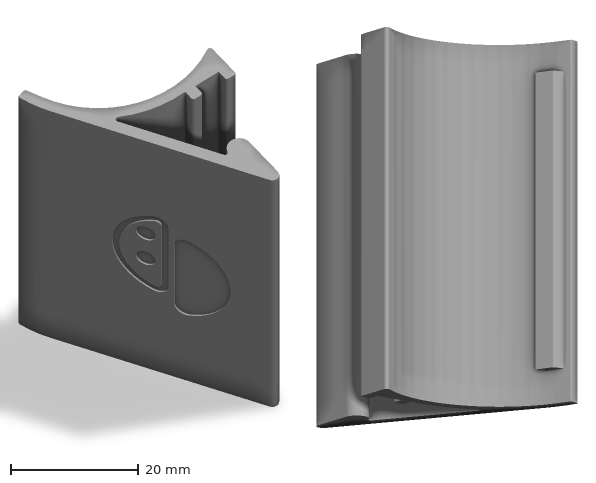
import cadquery as cq
import math

LENGTH = 58.5
WALL = 2.0
SADDLE_INNER_R = 18.5
SADDLE_OUTER_R = SADDLE_INNER_R + WALL

BLADE_ANGLE = 46.0
HOOK_ANGLE = 15.0
FOOT_END_ANGLE = -60.2
FOOT_FLAT_ANGLE = -51.0

CATCH_REACH = 2.0
HOOK_TOP = 10.2
HOOK_BOTTOM = HOOK_TOP - WALL
NUB_TOP = 3.6
NUB_BOTTOM = NUB_TOP - WALL

HEAD_R = 2.0
HEAD_CENTRE_OUT = 34.5
HEAD_TOP = NUB_TOP
NOTCH_R = 0.45

HEAD_TIP_R = 1.1
FOOT_TIP_R = 0.3
SADDLE_TIP_R = 0.5
HOOK_CORNER_R = 0.4
NUB_CORNER_R = 0.5

PAD_X_MIN = 10.36
PAD_X_MAX = 12.8
PAD_RISE = 1.85
PAD_Z = 5.5
PAD_HEIGHT = 48.0
PAD_EMBED = 0.5

RECESS_DEPTH = 0.3
DISC_R = 10.0
DISC_ALONG = 20.5
SPLIT_GAP = 1.0
DISC_CORNER_R = 2.0
NEAR_HALF_Z = 30.2
FAR_HALF_Z = 26.5
GROOVE_WIDTH = 1.2
DOT_DIAMETER = 3.3
DOT_ALONG = 16.2
DOT_Z = 31.5
DOT_SPACING = 6.4


def polar(radius, angle):
    """Point at a radius and angle about the saddle centre."""
    return (radius * math.cos(math.radians(angle)), radius * math.sin(math.radians(angle)))


def rotated(along, across, angle):
    """Point given in axes turned by an angle from X and Y."""
    c = math.cos(math.radians(angle))
    s = math.sin(math.radians(angle))
    return (along * c - across * s, along * s + across * c)


def on_blade(along, depth):
    """Point at a distance along the blade and a distance from the centre toward its outer face."""
    return rotated(along, -depth, BLADE_ANGLE)


def on_hook(out, up):
    """Point in the axes of the hook and nub."""
    return rotated(out, up, HOOK_ANGLE)


def leg(hypotenuse, other):
    """Remaining leg of a right triangle."""
    return math.sqrt(hypotenuse**2 - other**2)


def shifted(point, distance, angle):
    """Point moved a distance in a direction."""
    dx, dy = polar(distance, angle)
    return (point[0] + dx, point[1] + dy)


def make_body():
    """Extruded section with its sharp corners rounded."""
    outward = BLADE_ANGLE - 90.0
    catch_out = SADDLE_OUTER_R + CATCH_REACH

    foot_inner_r = SADDLE_INNER_R / math.cos(math.radians(FOOT_FLAT_ANGLE - FOOT_END_ANGLE))
    foot_inner = polar(foot_inner_r, FOOT_END_ANGLE)
    foot_outer = polar(SADDLE_OUTER_R, FOOT_END_ANGLE)

    wedge = math.radians(BLADE_ANGLE - HOOK_ANGLE)
    tip_out = (SADDLE_OUTER_R + HEAD_TOP * math.cos(wedge)) / math.sin(wedge)
    head_tip = on_hook(tip_out, HEAD_TOP)

    head_centre = on_hook(HEAD_CENTRE_OUT, HEAD_TOP - HEAD_R)
    head_along, head_across = rotated(*head_centre, -BLADE_ANGLE)
    notch_depth = SADDLE_INNER_R - NOTCH_R
    notch_along = head_along - leg(HEAD_R + NOTCH_R, notch_depth + head_across)
    notch_centre = on_blade(notch_along, notch_depth)
    to_notch = math.degrees(math.atan2(notch_centre[1] - head_centre[1], notch_centre[0] - head_centre[0]))
    head_start_angle = HOOK_ANGLE + 90.0
    head_mid_angle = (head_start_angle + to_notch + 360.0) / 2
    notch_mid_angle = (to_notch + 180.0 + outward) / 2

    fork = on_blade(leg(SADDLE_OUTER_R, SADDLE_INNER_R), SADDLE_INNER_R)
    saddle_tip = on_hook(leg(SADDLE_INNER_R, HOOK_TOP), HOOK_TOP)
    nub_root = on_hook(leg(SADDLE_OUTER_R, NUB_BOTTOM), NUB_BOTTOM)
    nub_bottom_tip = on_hook(catch_out, NUB_BOTTOM)
    nub_top_tip = on_hook(catch_out, NUB_TOP)
    hook_bottom_tip = on_hook(catch_out, HOOK_BOTTOM)
    hook_top_tip = on_hook(catch_out, HOOK_TOP)

    body = (
        cq.Workplane("XY")
        .moveTo(*foot_outer)
        .threePointArc(polar(SADDLE_OUTER_R, (FOOT_END_ANGLE + outward) / 2), polar(SADDLE_OUTER_R, outward))
        .lineTo(*head_tip)
        .lineTo(*on_hook(HEAD_CENTRE_OUT, HEAD_TOP))
        .threePointArc(shifted(head_centre, HEAD_R, head_mid_angle), shifted(head_centre, HEAD_R, to_notch))
        .threePointArc(shifted(notch_centre, NOTCH_R, notch_mid_angle), on_blade(notch_along, SADDLE_INNER_R))
        .lineTo(*fork)
        .threePointArc(polar(SADDLE_OUTER_R, 0), nub_root)
        .lineTo(*nub_bottom_tip)
        .lineTo(*nub_top_tip)
        .lineTo(*on_hook(SADDLE_OUTER_R, NUB_TOP))
        .lineTo(*on_hook(SADDLE_OUTER_R, HOOK_BOTTOM))
        .lineTo(*hook_bottom_tip)
        .lineTo(*hook_top_tip)
        .lineTo(*saddle_tip)
        .threePointArc(polar(SADDLE_INNER_R, 0), polar(SADDLE_INNER_R, FOOT_FLAT_ANGLE))
        .lineTo(*foot_inner)
        .close()
        .extrude(LENGTH)
    )

    corners = [
        (foot_inner, FOOT_TIP_R),
        (foot_outer, FOOT_TIP_R),
        (head_tip, HEAD_TIP_R),
        (fork, NOTCH_R),
        (nub_bottom_tip, NUB_CORNER_R),
        (nub_top_tip, NUB_CORNER_R),
        (hook_bottom_tip, HOOK_CORNER_R),
        (hook_top_tip, HOOK_CORNER_R),
        (saddle_tip, SADDLE_TIP_R),
    ]
    for (x, y), radius in corners:
        edge = cq.selectors.NearestToPointSelector((x, y, LENGTH / 2))
        body = body.edges("|Z").edges(edge).fillet(radius)
    return body


def make_pad():
    """Bar on the flat of the foot; its slanted face is parallel to that flat."""
    flat_x, flat_y = polar(SADDLE_INNER_R, FOOT_FLAT_ANGLE)
    slope = math.tan(math.radians(FOOT_FLAT_ANGLE + 90.0))
    flat_y_min = flat_y + slope * (PAD_X_MIN - flat_x)
    flat_y_max = flat_y + slope * (PAD_X_MAX - flat_x)
    return (
        cq.Workplane("XY", origin=(0, 0, PAD_Z))
        .moveTo(PAD_X_MIN, flat_y_min - PAD_EMBED)
        .lineTo(PAD_X_MAX, flat_y_max - PAD_EMBED)
        .lineTo(PAD_X_MAX, flat_y_max + PAD_RISE)
        .lineTo(PAD_X_MIN, flat_y_min + PAD_RISE)
        .close()
        .extrude(PAD_HEIGHT)
    )


def blade_face():
    """Workplane on the outer blade face: x along the blade, y along Z, normal outward."""
    origin = on_blade(0, SADDLE_OUTER_R)
    x_dir = polar(1, BLADE_ANGLE)
    normal = polar(1, BLADE_ANGLE - 90.0)
    return cq.Workplane(cq.Plane(origin=(*origin, 0), xDir=(*x_dir, 0), normal=(*normal, 0)))


def half_disc(side, centre_z, inset):
    """Cutter for one half of the split disc; side is -1 (near the foot) or +1."""
    radius = DISC_R - inset
    flat = SPLIT_GAP / 2 + inset
    flat_x = DISC_ALONG + side * flat
    half_chord = leg(radius, flat)
    return (
        blade_face()
        .moveTo(flat_x, centre_z - half_chord)
        .threePointArc((DISC_ALONG + side * radius, centre_z), (flat_x, centre_z + half_chord))
        .close()
        .extrude(-RECESS_DEPTH)
        .edges(cq.selectors.ParallelDirSelector(blade_face().plane.zDir))
        .fillet(DISC_CORNER_R - inset)
    )


def make_recesses():
    """Outlined half disc with two dots, and a plain half disc beside it."""
    groove = half_disc(-1, NEAR_HALF_Z, 0).cut(half_disc(-1, NEAR_HALF_Z, GROOVE_WIDTH))
    dots = (
        blade_face()
        .pushPoints([(DOT_ALONG, DOT_Z + side * DOT_SPACING / 2) for side in (-1, 1)])
        .circle(DOT_DIAMETER / 2)
        .extrude(-RECESS_DEPTH)
    )
    return [groove, dots, half_disc(1, FAR_HALF_Z, 0)]


result = make_body().union(make_pad())
for recess in make_recesses():
    result = result.cut(recess)